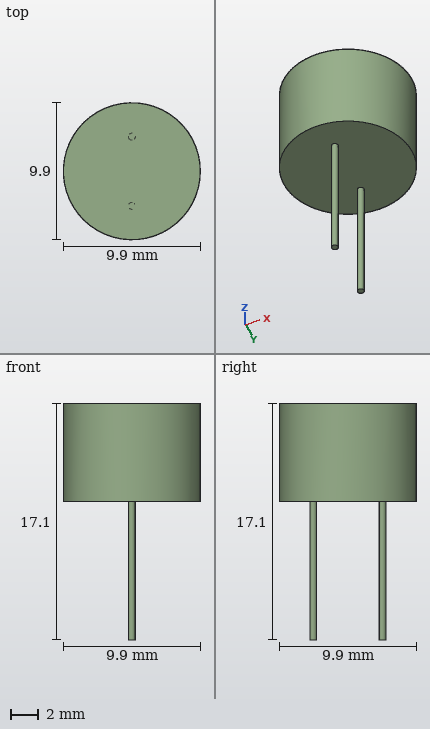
import cadquery as cq

body_diameter = 9.9
body_height = 7.1
lead_diameter = 0.5
lead_length = 10.0
lead_pitch = 5.0


def make_body():
    return cq.Workplane("XY").circle(body_diameter / 2).extrude(body_height)


def make_lead(y):
    """Round lead hanging from the underside of the body at the given Y."""
    return cq.Workplane("XY").center(0, y).circle(lead_diameter / 2).extrude(-lead_length)


result = make_body()
for side in (-1, 1):
    result = result.union(make_lead(side * lead_pitch / 2))